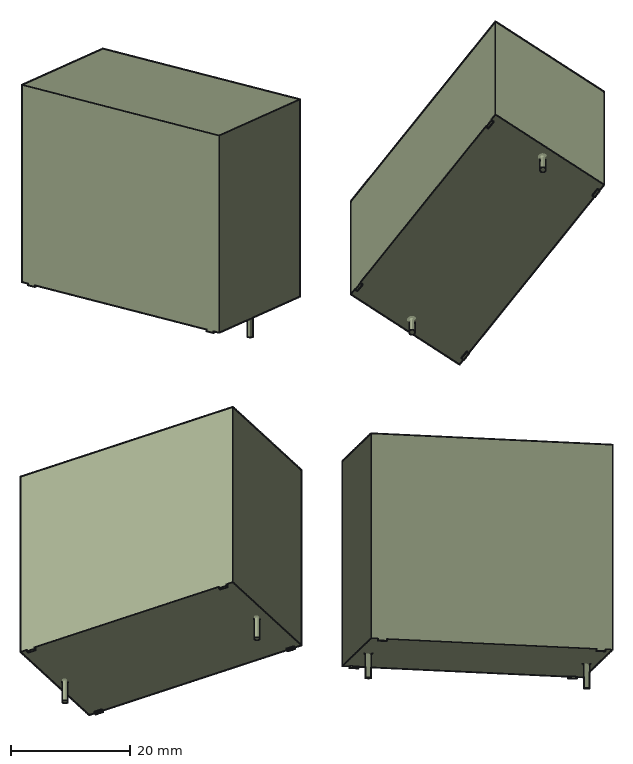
import cadquery as cq

case_length = 41.5
case_width = 22.5
total_height = 39.5

pin_diameter = 1.0
pin_length = 4.3
pin_spacing = 37.5
pin_root_fillet = 0.5

foot_length = 1.5
foot_width = 0.5
foot_height = 0.3

case_height = total_height - pin_length
foot_spacing = case_width - foot_width
underside = cq.Workplane("XY")


def make_case():
    """Plain block with its underside at Z = 0."""
    return underside.box(case_length, case_width, case_height, centered=(True, True, False))


def make_pins():
    """Round pins hanging from the underside."""
    pin_centers = underside.pushPoints([(-pin_spacing / 2, 0), (pin_spacing / 2, 0)])
    return pin_centers.circle(pin_diameter / 2).extrude(-pin_length)


def make_feet():
    """Four feet, flush with the long side faces."""
    foot_centers = underside.rarray(pin_spacing, foot_spacing, 2, 2)
    return foot_centers.rect(foot_length, foot_width).extrude(-foot_height)


def fillet_pin_roots(body):
    """Blend the pins into the underside with a concave fillet."""
    return body.faces("<Z[-2]").edges("%CIRCLE").fillet(pin_root_fillet)


case_with_pins = fillet_pin_roots(make_case().union(make_pins()))
result = case_with_pins.union(make_feet())